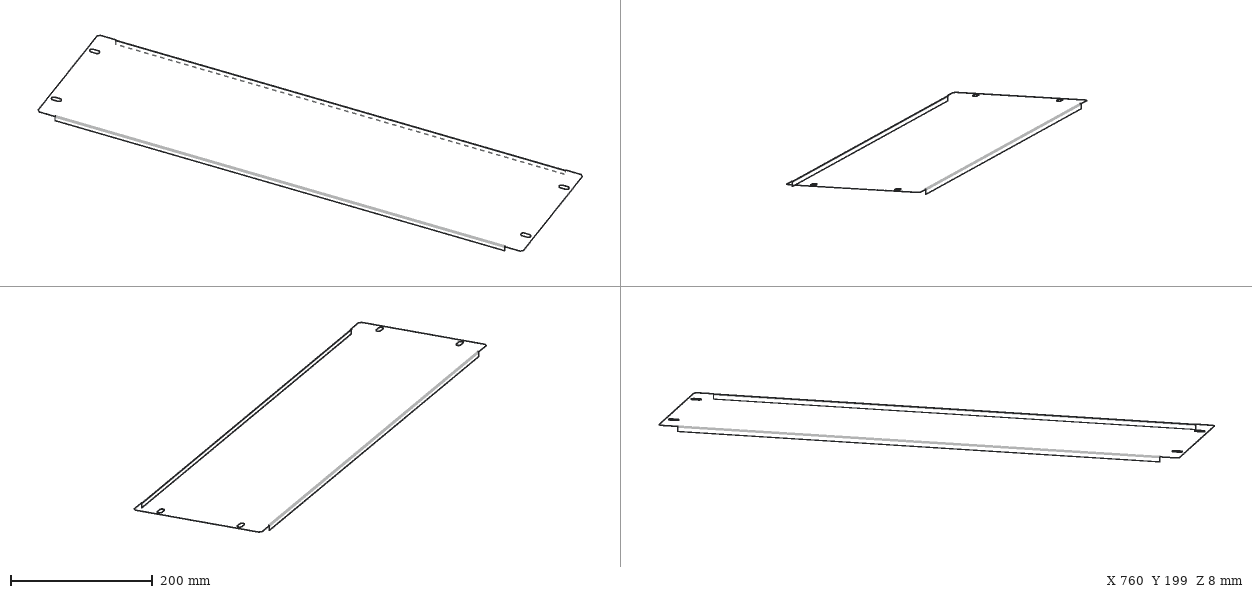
import cadquery as cq
import math

length = 760.0
width = 199.0
height = 8.0

thickness = 0.8
inner_bend_radius = 1.0
outer_bend_radius = inner_bend_radius + thickness
corner_chamfer = 3.5

flange_end_inset = 28.0
flange_length = length - 2 * flange_end_inset

slot_length = 15.0
slot_width = 7.0
slot_end_offset = 12.5
slot_pitch_x = length - 2 * slot_end_offset
slot_pitch_y = 124.5


def flat_panel():
    """Flat sheet with its top face at Z = 0 and chamfered corners."""
    sheet = cq.Workplane("XY").box(length, width, thickness, centered=(True, True, False))
    return sheet.translate((0, 0, -thickness)).edges("|Z").chamfer(corner_chamfer)


def edge_clearance(side):
    """Block that clears the sheet where the bend takes its place."""
    return (
        cq.Workplane("XY")
        .box(flange_length, outer_bend_radius, thickness)
        .translate((0, side * (width - outer_bend_radius) / 2, -thickness / 2))
    )


def folded_flange(side):
    """Downward flange with its bend, on the +Y (side = 1) or -Y (side = -1) edge."""
    outer_y = side * width / 2
    inner_y = outer_y - side * thickness
    bend_y = outer_y - side * outer_bend_radius
    diagonal = math.cos(math.radians(45))
    outer_mid = (
        bend_y + side * outer_bend_radius * diagonal,
        outer_bend_radius * (diagonal - 1),
    )
    inner_mid = (
        bend_y + side * inner_bend_radius * diagonal,
        inner_bend_radius * diagonal - outer_bend_radius,
    )
    return (
        cq.Workplane("YZ")
        .moveTo(bend_y, 0)
        .threePointArc(outer_mid, (outer_y, -outer_bend_radius))
        .lineTo(outer_y, -height)
        .lineTo(inner_y, -height)
        .lineTo(inner_y, -outer_bend_radius)
        .threePointArc(inner_mid, (bend_y, -thickness))
        .close()
        .extrude(flange_length / 2, both=True)
    )


def mounting_slots():
    """Cutters for the four round-ended slots."""
    return (
        cq.Workplane("XY")
        .rarray(slot_pitch_x, slot_pitch_y, 2, 2)
        .slot2D(slot_length, slot_width)
        .extrude(-thickness)
    )


panel = flat_panel()
for side in (-1, 1):
    panel = panel.cut(edge_clearance(side)).union(folded_flange(side))

result = panel.cut(mounting_slots())